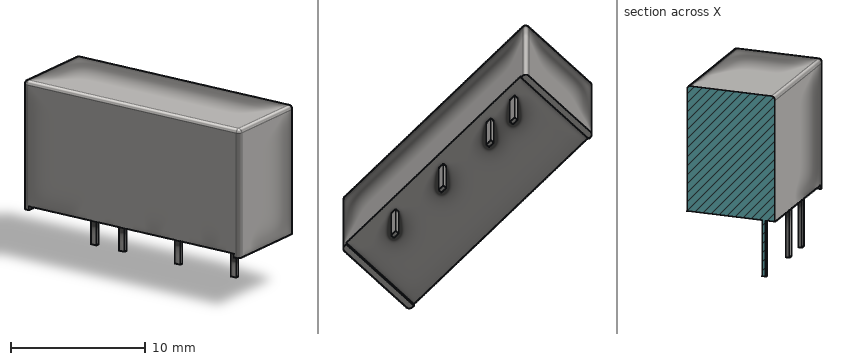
import cadquery as cq

case_length = 19.65
case_width = 7.05
overall_height = 14.26
edge_radius = 0.3

foot_length = 0.5
foot_height = 0.3

pin_pitch = 2.54
pin_grid_slots = (0, 1, 3, 5)
pin_width = 0.5
pin_thickness = 0.3
pin_length_below_feet = 4.1
first_pin_from_end = 2.19
pin_row_from_back = 0.9

case_height = overall_height - pin_length_below_feet


def make_case():
    """Box standing on Z = 0 with rounded upright and top edges."""
    case = cq.Workplane("XY").box(case_length, case_width, case_height, centered=(True, True, False))
    return case.edges("|Z or >Z").fillet(edge_radius)


def make_channel():
    """Channel across the full width of the underside, between the feet."""
    channel_length = case_length - 2 * foot_length
    return cq.Workplane("XY").box(channel_length, case_width, foot_height, centered=(True, True, False))


def make_pins():
    """Leads hanging from the channel ceiling, in a row near the back (+Y) face."""
    first_pin_x = -case_length / 2 + first_pin_from_end
    pin_row_y = case_width / 2 - pin_row_from_back
    pin_positions = [(first_pin_x + slot * pin_pitch, pin_row_y) for slot in pin_grid_slots]
    return (
        cq.Workplane("XY", origin=(0, 0, -pin_length_below_feet))
        .pushPoints(pin_positions)
        .rect(pin_width, pin_thickness)
        .extrude(pin_length_below_feet + foot_height)
    )


result = make_case().cut(make_channel()).union(make_pins())